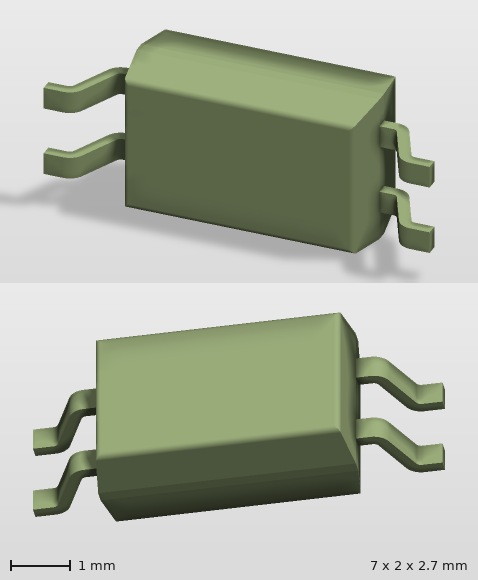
import cadquery as cq
import math

overall_length = 7.0
overall_height = 2.0

band_length = 4.4
band_width = 2.7
standoff = 0.1
draft_angle = 8.0
edge_radius = 0.1

lead_thickness = 0.21
lead_width = 0.4
lead_pitch = 1.27
leg_angle = 65.0
leg_middle_x = 2.8
inner_bend_radius = 0.1
outer_bend_radius = inner_bend_radius + lead_thickness

housing_height = overall_height - standoff
band_middle = standoff + housing_height / 2
band_bottom = band_middle - lead_thickness / 2
taper_height = (housing_height - lead_thickness) / 2
lead_tip_x = overall_length / 2
band_end_x = band_length / 2


def make_taper():
    """Tapered upper half of the housing, standing on the top of the band."""
    taper = (
        cq.Workplane("XY")
        .rect(band_length, band_width)
        .extrude(taper_height, taper=draft_angle)
        .faces(">Z")
        .edges()
        .fillet(edge_radius)
    )
    return taper.rotate((0, 0, 0), (1, 0, 0), -90).translate((0, band_bottom + lead_thickness, 0))


def make_housing():
    """One solid: the band with a mirrored pair of tapers."""
    band = cq.Workplane("XY").box(band_length, lead_thickness, band_width).translate((0, band_middle, 0))
    upper = make_taper()
    lower = upper.mirror("XZ", (0, band_middle, 0))
    return band.union(upper).union(lower)


def make_lead():
    """Lead on the +X end, centred on Z = 0, butting against the end of the band."""
    leg_half_run = band_bottom / math.tan(math.radians(leg_angle)) / 2
    corner_shift = lead_thickness * math.tan(math.radians(leg_angle / 2)) / 2
    shoulder_x = leg_middle_x - leg_half_run
    foot_x = leg_middle_x + leg_half_run
    shoulder_top = band_bottom + lead_thickness

    lead = (
        cq.Workplane("XY")
        .moveTo(band_end_x, band_bottom)
        .lineTo(shoulder_x - corner_shift, band_bottom)
        .lineTo(foot_x - corner_shift, 0)
        .lineTo(lead_tip_x, 0)
        .lineTo(lead_tip_x, lead_thickness)
        .lineTo(foot_x + corner_shift, lead_thickness)
        .lineTo(shoulder_x + corner_shift, shoulder_top)
        .lineTo(band_end_x, shoulder_top)
        .close()
        .extrude(lead_width / 2, both=True)
    )

    def bend_edge(x, y):
        return cq.selectors.NearestToPointSelector((x, y, 0))

    lead = lead.edges(bend_edge(shoulder_x - corner_shift, band_bottom)).fillet(inner_bend_radius)
    lead = lead.edges(bend_edge(foot_x + corner_shift, lead_thickness)).fillet(inner_bend_radius)
    lead = lead.edges(bend_edge(shoulder_x + corner_shift, shoulder_top)).fillet(outer_bend_radius)
    return lead.edges(bend_edge(foot_x - corner_shift, 0)).fillet(outer_bend_radius)


def make_leads():
    """Two leads on each end of the housing, each a separate solid."""
    right_lead = make_lead()
    left_lead = right_lead.mirror("YZ")
    leads = []
    for lead in (right_lead, left_lead):
        for z in (-lead_pitch / 2, lead_pitch / 2):
            leads.append(lead.translate((0, 0, z)).val())
    return leads


housing = make_housing()
leads = make_leads()
result = cq.Compound.makeCompound([housing.val(), *leads])